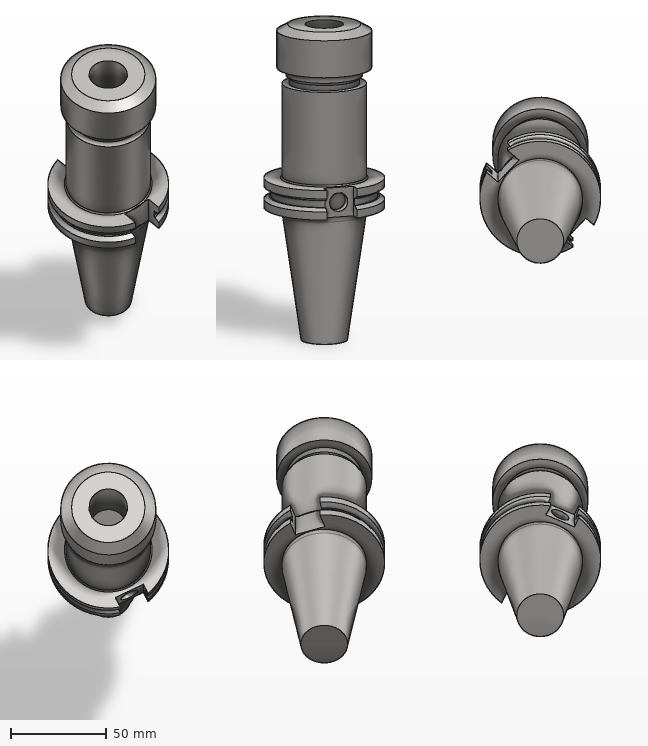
import cadquery as cq
import math

gauge_diameter = 44.45
taper_length = 68.25
taper_ratio = 7 / 24
tip_diameter = gauge_diameter - taper_length * taper_ratio

flange_diameter = 63.5
flange_offset = 3.175
flange_thickness = 15.875
flange_bottom = taper_length + flange_offset
flange_top = flange_bottom + flange_thickness
groove_center = taper_length + 11.1
groove_floor_diameter = 56.2
groove_ledge_diameter = 58.0
groove_mouth_width = 7.05
groove_wall_angle = 30
groove_wall_depth = (flange_diameter - groove_ledge_diameter) / 2
groove_wall_height = groove_wall_depth * math.tan(math.radians(groove_wall_angle))

slot_width = 16.38
slot_floor_left = 25.0
slot_floor_right = 22.6
side_hole_diameter = 10
side_hole_depth = 4.6

body_diameter = 44.45
body_top = 138.1
body_root_fillet = 0.8
neck_diameter = 37.3
neck_top = 141.0
collar_diameter = 40.4
collar_bottom = 142.5

total_length = 169.85
nut_diameter = 50
nut_height = 23.25
nut_face_diameter = 38.45
nut_chamfer_angle = 30
nut_bottom = total_length - nut_height
nut_chamfer_width = (nut_diameter - nut_face_diameter) / 2
nut_chamfer_height = nut_chamfer_width * math.tan(math.radians(nut_chamfer_angle))

bore_diameter = 20
bore_depth = 40


def revolve_profile(profile):
    """Close a (radius, height) outline and revolve it around the Z axis."""
    return profile.close().revolve(360, (0, 0, 0), (0, 1, 0))


def revolve_points(points):
    """Revolve a straight-sided outline given by its (radius, height) corners."""
    return revolve_profile(cq.Workplane("XZ").polyline(points))


def make_shank():
    return revolve_points([
        (0, 0),
        (tip_diameter / 2, 0),
        (gauge_diameter / 2, taper_length),
        (gauge_diameter / 2, flange_bottom),
        (0, flange_bottom),
    ])


def make_flange():
    rim = flange_diameter / 2
    ledge = groove_ledge_diameter / 2
    floor = groove_floor_diameter / 2
    mouth_half = groove_mouth_width / 2
    floor_half = mouth_half - groove_wall_height
    return revolve_points([
        (0, flange_bottom),
        (rim, flange_bottom),
        (rim, groove_center - mouth_half),
        (ledge, groove_center - floor_half),
        (floor, groove_center - floor_half),
        (floor, groove_center + floor_half),
        (ledge, groove_center + floor_half),
        (rim, groove_center + mouth_half),
        (rim, flange_top),
        (0, flange_top),
    ])


def make_body():
    radius = body_diameter / 2
    fillet_middle = body_root_fillet * (1 - math.sqrt(0.5))
    profile = (
        cq.Workplane("XZ")
        .moveTo(0, flange_top)
        .lineTo(radius + body_root_fillet, flange_top)
        .threePointArc(
            (radius + fillet_middle, flange_top + fillet_middle),
            (radius, flange_top + body_root_fillet),
        )
        .lineTo(radius, body_top)
        .lineTo(neck_diameter / 2, body_top)
        .lineTo(neck_diameter / 2, neck_top)
        .lineTo(collar_diameter / 2, collar_bottom)
        .lineTo(collar_diameter / 2, nut_bottom)
        .lineTo(0, nut_bottom)
    )
    return revolve_profile(profile)


def make_nut():
    return revolve_points([
        (0, nut_bottom),
        (nut_diameter / 2, nut_bottom),
        (nut_diameter / 2, total_length - nut_chamfer_height),
        (nut_face_diameter / 2, total_length),
        (0, total_length),
    ])


def make_slot(side, floor_distance):
    """Drive slot through the flange thickness; side is -1 for -X, +1 for +X."""
    radial_length = flange_diameter / 2
    return (
        cq.Workplane("XY", origin=(0, 0, flange_bottom))
        .center(side * (floor_distance + radial_length / 2), 0)
        .rect(radial_length, slot_width)
        .extrude(flange_thickness)
    )


def make_side_hole():
    """Blind round hole in the middle of the -X slot floor."""
    flange_middle = flange_bottom + flange_thickness / 2
    return (
        cq.Workplane("YZ", origin=(-slot_floor_left, 0, flange_middle))
        .circle(side_hole_diameter / 2)
        .extrude(side_hole_depth)
    )


def make_bore():
    return (
        cq.Workplane("XY", origin=(0, 0, total_length - bore_depth))
        .circle(bore_diameter / 2)
        .extrude(bore_depth)
    )


result = make_shank().union(make_flange()).union(make_body()).union(make_nut())
result = result.cut(make_slot(-1, slot_floor_left)).cut(make_slot(1, slot_floor_right))
result = result.cut(make_side_hole()).cut(make_bore())